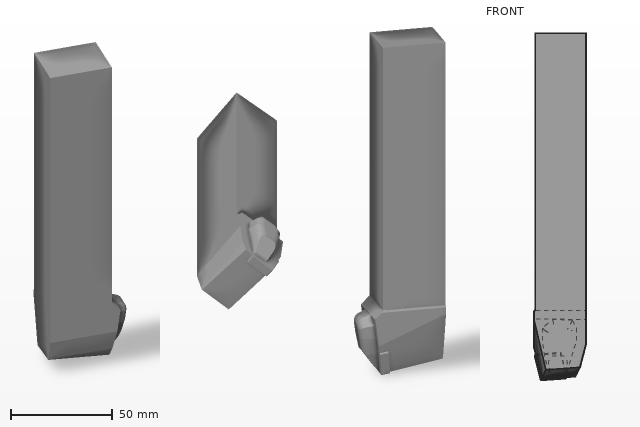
import cadquery as cq
import math

total_height = 171.4
head_width = 25.9
shank_depth = 32.0
shank_inset = 0.7

flare_top = 34.6
flare_depth = 4.1
side_step_top = 34.8
side_step_bottom = 33.8
right_taper_start = 18.0
right_taper_x = 23.0
right_taper_end = 6.9
right_corner_x = 19.5

rake_height = flare_top - flare_depth
rake_slope = 0.138
rake_side_slope = 0.018
rake_tip_y = shank_depth + flare_depth - rake_slope * rake_height

insert_side = 12.9
insert_thickness = 4.5
insert_nose_radius = 0.9
insert_nose = (3.5, -0.05)
left_edge_angle = 104.0
bottom_edge_angle = 4.0
left_overhang = 0.5
bottom_overhang = 0.7
left_relief_angle = 2.5

clamp_height = 7.0
clamp_ridge_radius = 4.1
clamp_outline = [(9.3, 30.2), (4.1, 26.0), (4.1, 19.5), (5.5, 10.6), (7.9, 2.7),
                 (15.8, 2.7), (20.9, 19.5), (20.9, 26.0), (18.8, 29.8)]
clamp_nose_low = 2.7
clamp_nose_high = 12.0
clamp_nose_base = 1.7
clamp_wall_taper = 13.0

flank_reach = 137.0
margin = 17.1

rake_plane = cq.Plane(
    origin=(0, rake_tip_y, 0),
    xDir=(1, rake_side_slope, 0),
    normal=(-rake_side_slope, 1, -rake_slope),
)


def rake_point(point):
    """Turn an (x, z) place into the rake plane's own coordinates."""
    x, z = point
    y = rake_tip_y + rake_side_slope * x + rake_slope * z
    local = rake_plane.toLocalCoords(cq.Vector(x, y, z))
    return (local.x, local.y)


def polar(start, length, angle):
    """Point at a given distance and direction from a start point."""
    turn = math.radians(angle)
    return (start[0] + length * math.cos(turn), start[1] + length * math.sin(turn))


def rake_prism(points, height, taper=0):
    """Prism standing on the rake plane."""
    outline = cq.Workplane(rake_plane).polyline([rake_point(p) for p in points]).close()
    return outline.extrude(height, taper=taper)


def make_insert():
    left_corner = polar(insert_nose, insert_side, left_edge_angle)
    right_corner = polar(insert_nose, insert_side, bottom_edge_angle)
    far_corner = polar(left_corner, insert_side, bottom_edge_angle)
    plate = rake_prism([insert_nose, right_corner, far_corner, left_corner], -insert_thickness)
    corner_edges = cq.selectors.ParallelDirSelector(rake_plane.zDir)
    return plate.edges(corner_edges).fillet(insert_nose_radius)


def make_blank():
    """Shank and flared head, before the nose is relieved."""
    width_outline = [
        (shank_inset, total_height), (shank_inset, side_step_top), (0, side_step_bottom), (0, 0),
        (head_width, 0), (head_width, total_height),
    ]
    depth = shank_depth + flare_depth + margin
    blank = cq.Workplane("XZ").polyline(width_outline).close().extrude(-depth)
    side_outline = [
        (0, 0), (0, total_height), (shank_depth, total_height), (shank_depth, flare_top),
        (shank_depth + margin, flare_top - margin), (shank_depth + margin, 0),
    ]
    blank = blank.intersect(cq.Workplane("YZ").polyline(side_outline).close().extrude(head_width))
    right = head_width + margin
    corners = [(-margin, -margin), (right, -margin), (right, total_height), (-margin, total_height)]
    return blank.cut(rake_prism(corners, margin))


def flank_cutter(start, edge_angle, relief_angle):
    """Block lying outside a flank that runs along a line on the rake face."""
    origin = rake_plane.toWorldCoords(rake_point(start))
    along = rake_plane.toWorldCoords(rake_point(polar(start, 1.7, edge_angle))) - origin
    outward = along.cross(rake_plane.zDir).normalized()
    relief = math.radians(relief_angle)
    normal = outward * math.cos(relief) - rake_plane.zDir * math.sin(relief)
    flank = cq.Plane(origin=origin.toTuple(), xDir=along.toTuple(), normal=normal.toTuple())
    return cq.Workplane(flank).rect(flank_reach, flank_reach).extrude(margin)


def relieve_nose(blank):
    """Trim the flanks square to the rake face and taper the right side."""
    edge_start = (insert_nose[0] + left_overhang, insert_nose[1] + bottom_overhang)
    left_cutter = flank_cutter(edge_start, left_edge_angle, left_relief_angle)
    bottom_cutter = flank_cutter(edge_start, bottom_edge_angle + 180, 0)
    taper_outline = [
        (head_width, right_taper_start), (right_taper_x, right_taper_end),
        (right_corner_x, 0), (right_corner_x, -margin),
        (head_width + margin, -margin), (head_width + margin, right_taper_start),
    ]
    taper = cq.Workplane("XZ").polyline(taper_outline).close().extrude(-shank_depth - margin)
    return blank.cut(left_cutter).cut(bottom_cutter).cut(taper)


def make_clamp():
    clamp = rake_prism(clamp_outline, clamp_height, clamp_wall_taper)
    slope_cut = (
        cq.Workplane("YZ")
        .polyline([
            (rake_tip_y + rake_slope * clamp_nose_low + clamp_nose_base, clamp_nose_low),
            (rake_tip_y + rake_slope * clamp_nose_high + clamp_height, clamp_nose_high),
            (rake_tip_y + margin, clamp_nose_high),
            (rake_tip_y + margin, -margin),
            (rake_tip_y + clamp_nose_base, -margin),
        ])
        .close()
        .extrude(head_width)
    )
    top_face = clamp.faces(cq.selectors.DirectionMinMaxSelector(rake_plane.zDir))
    clamp = top_face.edges().fillet(clamp_ridge_radius)
    return clamp.cut(slope_cut)


insert = make_insert()
holder = relieve_nose(make_blank()).cut(insert).union(make_clamp())

result = cq.Compound.makeCompound([holder.solids().val(), insert.solids().val()])